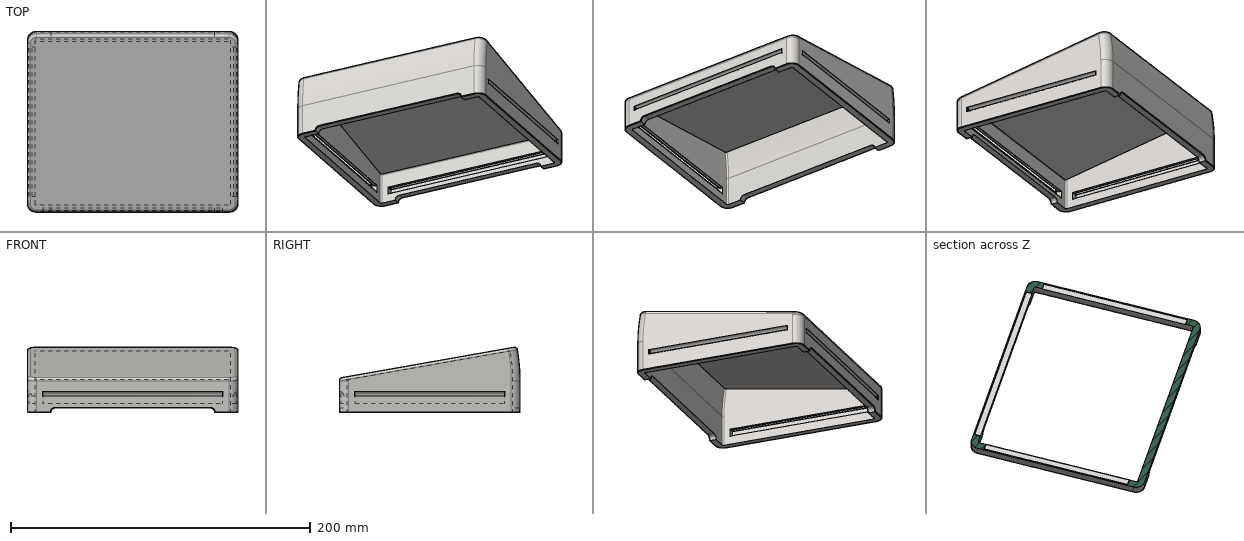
import cadquery as cq
import math

width = 140.8
depth = 120.8
base_height = 21.0
tilt = 10.0
corner_radius = 6.0
lid_thickness = 2.0
lid_edge_radius = lid_thickness
wall = 5.0
foot_chamfer = 0.4
chamfer_angle = 45.0

notch_margin = 15.75
notch_radius = 3.0

slot_top = 14.0
slot_radius = 3.0
slot_floor = slot_top - slot_radius
slot_margin = 10.0
slot_end_step = 0.5
slot_skin = 1.0
pocket_height = 5.0

hinge_start = (-1, -depth / 2, 0)
hinge_end = (1, -depth / 2, 0)


def outline(inset):
    """Rounded plan outline of the case, moved inward by inset."""
    rectangle = cq.Sketch().rect(width - 2 * inset, depth - 2 * inset)
    return rectangle.vertices().fillet(corner_radius - inset)


def upright_and_wedge(inset):
    """Upright base plus the wedge swept by tilting the outline about the hinge."""
    base = cq.Workplane("XY").placeSketch(outline(inset)).extrude(base_height)
    top_plane = cq.Workplane("XY").workplane(offset=base_height)
    wedge = top_plane.placeSketch(outline(inset)).revolve(tilt, hinge_start, hinge_end)
    return base, wedge


def lid():
    """Tilted plate whose whole edge is a quarter round."""
    skirt = corner_radius
    plate = cq.Workplane("XY").placeSketch(outline(0)).extrude(skirt + lid_thickness)
    plate = plate.faces(">Z").edges().fillet(lid_edge_radius)
    skirt_cutter = cq.Workplane("XY").rect(2 * width, 2 * depth).extrude(skirt)
    plate = plate.cut(skirt_cutter).translate((0, 0, base_height - skirt))
    lift = cq.Vector(0, 0, base_height)
    return plate.rotate(cq.Vector(*hinge_start) + lift, cq.Vector(*hinge_end) + lift, tilt)


def shell():
    """Hollow case, open at the bottom."""
    base, wedge = upright_and_wedge(0)
    base = base.faces("<Z").edges().chamfer(foot_chamfer)
    hollow_base, hollow_wedge = upright_and_wedge(wall)
    return base.union(wedge).union(lid()).cut(hollow_base).cut(hollow_wedge)


def notch_profile(growth):
    """Notch shape in the XZ plane, grown outward by growth; each side is a quarter round."""
    half = width / 2 - notch_margin + growth
    radius = notch_radius + growth
    bend = radius * math.sqrt(0.5)
    center = half - radius
    profile = cq.Workplane("XZ").moveTo(-half, 0)
    profile = profile.threePointArc((-center - bend, bend), (-center, radius))
    profile = profile.lineTo(center, radius)
    return profile.threePointArc((center + bend, bend), (half, 0)).close()


def cut_notches(case):
    """Cut the notch through the front and back walls and chamfer both mouths."""
    case = case.cut(notch_profile(0).extrude(depth, both=True))
    mouth = notch_profile(foot_chamfer).extrude(-foot_chamfer, taper=chamfer_angle)
    front_mouth = mouth.translate((0, -depth / 2, 0))
    return case.cut(front_mouth).cut(front_mouth.mirror("XZ"))


def quarter_bar(radius, length):
    """Quarter-round bar along Y: flat on the slot floor level and on the plane X = 0."""
    bend = radius * math.sqrt(0.5)
    section = cq.Workplane("XZ").moveTo(0, slot_floor).lineTo(radius, slot_floor)
    section = section.threePointArc((bend, slot_floor + bend), (0, slot_floor + radius)).close()
    return section.extrude(length / 2, both=True)


def cut_slot(case, wall_length, angle, wall_position):
    """Cut one vent through a wall; angle turns the inward direction from +X."""
    mouth_length = wall_length - 2 * slot_margin
    passage_length = mouth_length - 2 * slot_end_step
    skin_slab = cq.Workplane("XY").box(2 * slot_skin, wall_length, 2 * base_height)
    mouth = quarter_bar(slot_radius, mouth_length).intersect(skin_slab)
    passage = quarter_bar(slot_radius, passage_length)
    pocket = cq.Workplane("XY").box(wall, passage_length, pocket_height, centered=(False, True, False))
    pocket = pocket.translate((slot_skin, 0, slot_floor - pocket_height))
    vent = mouth.union(passage).union(pocket)
    return case.cut(vent.rotate((0, 0, 0), (0, 0, 1), angle).translate(wall_position))


result = cut_notches(shell())

result = cut_slot(result, width, 90, (0, -depth / 2, 0))
result = cut_slot(result, depth, 0, (-width / 2, 0, 0))
result = cut_slot(result, depth, 180, (width / 2, 0, 0))